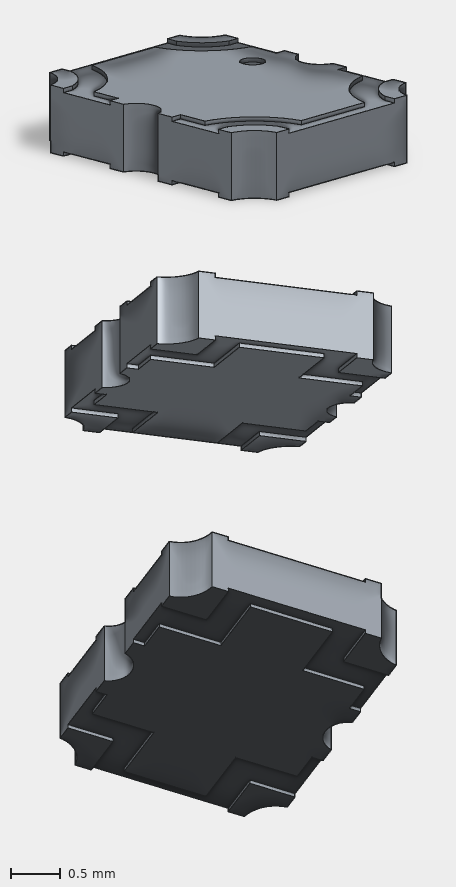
import cadquery as cq

length = 3.17
width = 2.54
height = 0.71
metal_thickness = 0.045

corner_offset = 0.05
corner_notch_radius = 0.377
corner_pad_radius = 0.583
corner_clearance_radius = 0.878
corner_pad_length = 0.505
bottom_clearance_length = 0.81

plate_inset = 0.125
tab_width = 0.87

side_notch_radius = 0.25
side_notch_offset = 0.065

mark_x = -0.393
mark_y = 0.765
mark_diameter = 0.26

corner_centers = [
    (x_sign * (length / 2 + corner_offset), y_sign * (width / 2 + corner_offset))
    for x_sign in (-1, 1)
    for y_sign in (-1, 1)
]
side_notch_centers = [
    (0, y_sign * (width / 2 + side_notch_offset)) for y_sign in (-1, 1)
]


def slab(size_x, size_y, thickness):
    """Rectangular slab resting on Z = 0."""
    return cq.Workplane("XY").box(size_x, size_y, thickness, centered=(True, True, False))


def cylinders(centers, radius, depth):
    """Upright cylinders resting on Z = 0."""
    return cq.Workplane("XY").pushPoints(centers).circle(radius).extrude(depth)


def corner_blocks(size):
    """Square blocks of one metal thickness filling the four corners."""
    return (
        cq.Workplane("XY")
        .rect(length - size, width - size, forConstruction=True)
        .vertices()
        .rect(size, size)
        .extrude(metal_thickness)
    )


def make_metal_layer(corner_clearance, corner_pads):
    """Central plate with tabs, cleared at the corners for the separate corner pads."""
    plate = slab(length - 2 * plate_inset, width - 2 * plate_inset, metal_thickness)
    plate = plate.cut(corner_clearance)
    plate = plate.union(slab(tab_width, width, metal_thickness))
    return plate.union(corner_pads)


square_pads = corner_blocks(corner_pad_length)
top_metal = make_metal_layer(
    cylinders(corner_centers, corner_clearance_radius, metal_thickness),
    square_pads.intersect(cylinders(corner_centers, corner_pad_radius, metal_thickness)),
)

bottom_metal = make_metal_layer(corner_blocks(bottom_clearance_length), square_pads)

core = slab(length, width, height - 2 * metal_thickness).translate((0, 0, metal_thickness))
top_metal_z = height - metal_thickness
result = core.union(bottom_metal).union(top_metal.translate((0, 0, top_metal_z)))

result = result.cut(cylinders(corner_centers, corner_notch_radius, height))
result = result.cut(cylinders(side_notch_centers, side_notch_radius, height))

mark = cylinders([(mark_x, mark_y)], mark_diameter / 2, metal_thickness)
result = result.cut(mark.translate((0, 0, top_metal_z)))